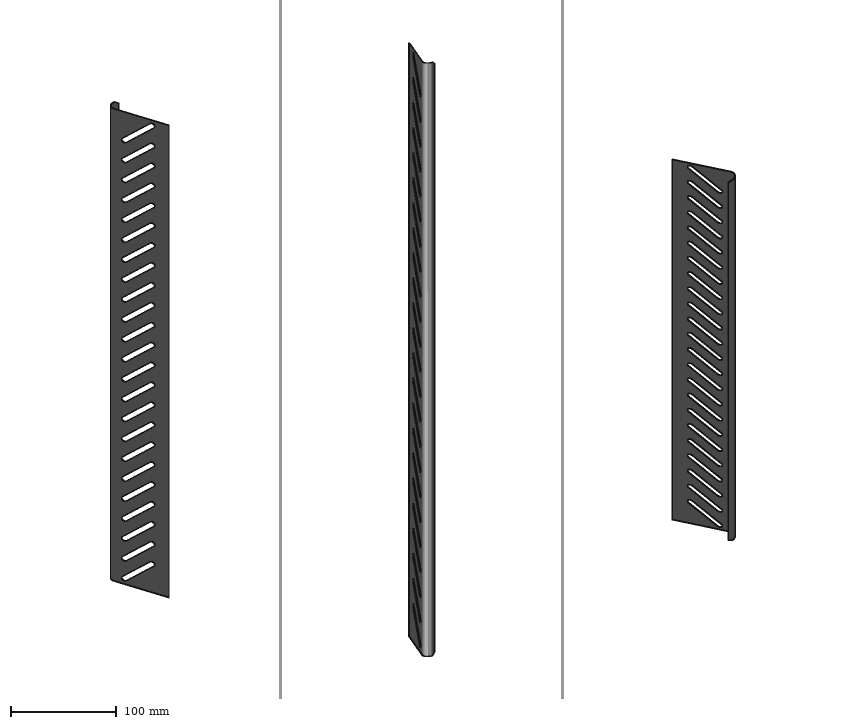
import cadquery as cq
import math

width = 63.0
depth = 12.5
length = 593.0
thickness = 0.9

bend_radius = 5.5
wall_height = 0.5
lip_angle = 50.0
lip_corner = 2.65

slot_count = 23
slot_width = 5.65
slot_angle = 45.0
slot_center_x = 31.0
slot_span = 34.5
end_margin = 4.0

slot_length = (slot_span - slot_width) / math.cos(math.radians(slot_angle)) + slot_width
first_slot_z = end_margin + slot_span / 2
slot_pitch = (length - 2 * first_slot_z) / (slot_count - 1)


def make_strip():
    """Extrude the hooked sheet section along Z, with the flat web at Y = 0."""
    inner_radius = bend_radius - thickness
    turn = math.radians(lip_angle)
    half_quarter = math.pi / 4
    lip_bend_y = bend_radius + wall_height

    def on_bend(center_y, radius, angle):
        """Point on a bend, turned by the angle from the wall."""
        return (bend_radius - radius * math.cos(angle), center_y + radius * math.sin(angle))

    bend_end = on_bend(lip_bend_y, bend_radius, turn)
    inner_bend_end = on_bend(lip_bend_y, inner_radius, turn)
    lip_rise = depth - bend_end[1]
    lip_run = lip_rise * math.tan(turn)
    section = (
        cq.Workplane("XY")
        .moveTo(width, 0)
        .lineTo(bend_radius, 0)
        .threePointArc(on_bend(bend_radius, bend_radius, -half_quarter), (0, bend_radius))
        .lineTo(0, lip_bend_y)
        .threePointArc(on_bend(lip_bend_y, bend_radius, turn / 2), bend_end)
        .line(lip_run, lip_rise)
        .lineTo(inner_bend_end[0] + lip_run, inner_bend_end[1] + lip_rise)
        .lineTo(*inner_bend_end)
        .threePointArc(on_bend(lip_bend_y, inner_radius, turn / 2), (thickness, lip_bend_y))
        .lineTo(thickness, bend_radius)
        .threePointArc(on_bend(bend_radius, inner_radius, -half_quarter), (bend_radius, thickness))
        .lineTo(width, thickness)
        .close()
    )
    return section.extrude(length)


def make_lip_corner(end_z, inward):
    """Triangular cutter that chamfers the lip edge at one end; inward is the Z direction into the strip."""
    return (
        cq.Workplane("YZ")
        .moveTo(depth, end_z)
        .lineTo(depth - lip_corner, end_z)
        .lineTo(depth, end_z + inward * lip_corner)
        .close()
        .extrude(width)
    )


def make_slots():
    """Cutters for the slots, passing through the flat web only."""
    centers = [(slot_center_x, first_slot_z + i * slot_pitch) for i in range(slot_count)]
    return (
        cq.Workplane("XZ")
        .pushPoints(centers)
        .slot2D(slot_length, slot_width, slot_angle)
        .extrude(thickness, both=True)
    )


result = make_strip().cut(make_slots())
result = result.cut(make_lip_corner(0, 1)).cut(make_lip_corner(length, -1))